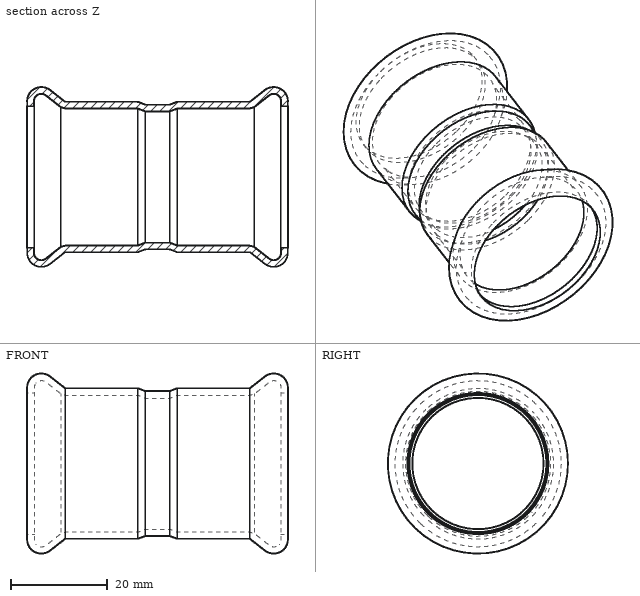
import cadquery as cq
import math

length = 54.0
half_length = length / 2
bead_outer_diameter = 37.3
bead_outer_radius = bead_outer_diameter / 2

sleeve_radius = 15.6
waist_radius = 15.0
waist_half_width = 2.55
shoulder_half_width = 4.05

bead_section_radius = 2.95
bead_length = 7.9

wall = 1.45
mouth_radius = 14.65
groove_section_radius = bead_section_radius - wall

lead_in_radius = 14.4
lead_in_length = 1.1
bore_radius = sleeve_radius - wall
stop_radius = waist_radius - wall

bead_center_x = bead_section_radius - half_length
bead_center_radius = bead_outer_radius - bead_section_radius
cone_end_x = bead_length - half_length
cone_dx = cone_end_x - bead_center_x
cone_dr = sleeve_radius - bead_center_radius
tangent_angle = math.atan2(cone_dr, cone_dx) + math.acos(
    bead_section_radius / math.hypot(cone_dx, cone_dr)
)

groove_tangent_radius = bead_center_radius + groove_section_radius * math.sin(tangent_angle)
groove_tangent_x = bead_center_x + groove_section_radius * math.cos(tangent_angle)
lead_in_x = groove_tangent_x + (groove_tangent_radius - lead_in_radius) * math.tan(tangent_angle)
bore_start_x = lead_in_x + lead_in_length


def bead_point(section_radius, angle):
    """Point on a round bead section at an angle from the +X direction."""
    return (
        bead_center_x + section_radius * math.cos(angle),
        bead_center_radius + section_radius * math.sin(angle),
    )


half_section = (
    cq.Workplane("XY")
    .moveTo(-half_length, mouth_radius)
    .lineTo(-half_length, bead_center_radius)
    .threePointArc(
        bead_point(bead_section_radius, math.pi / 2),
        bead_point(bead_section_radius, tangent_angle),
    )
    .lineTo(cone_end_x, sleeve_radius)
    .lineTo(-shoulder_half_width, sleeve_radius)
    .lineTo(-waist_half_width, waist_radius)
    .lineTo(0, waist_radius)
    .lineTo(0, stop_radius)
    .lineTo(-waist_half_width, stop_radius)
    .lineTo(-shoulder_half_width, bore_radius)
    .lineTo(bore_start_x, bore_radius)
    .lineTo(lead_in_x, lead_in_radius)
    .lineTo(groove_tangent_x, groove_tangent_radius)
    .threePointArc(
        bead_point(groove_section_radius, math.pi / 2),
        bead_point(groove_section_radius, math.pi),
    )
    .lineTo(wall - half_length, mouth_radius)
    .close()
)

left_half = half_section.revolve(360, (0, 0, 0), (1, 0, 0))
result = left_half.union(left_half.mirror("YZ"))